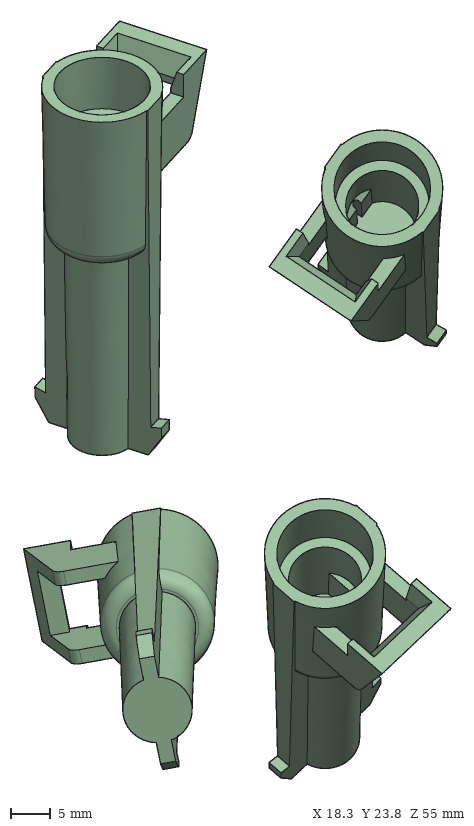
import cadquery as cq
import math

TOTAL_HEIGHT = 55.0
CUP_BOTTOM = 31.5

CUP_TOP_RADIUS = 7.68
CUP_BOTTOM_RADIUS = 7.18
CUP_EDGE_FILLET = 2.0
STEM_TOP_RADIUS = 4.84
STEM_BOTTOM_RADIUS = 4.4

RIB_REACH = 7.6
RIB_TOP_WIDTH = 3.7
RIB_BOTTOM_WIDTH = 1.95

HOOK_REACH = 9.15
HOOK_TIP_REACH = 7.17
HOOK_LOWER_EDGE = 3.4
HOOK_ROOT = 4.6
HOOK_UPPER_EDGE = 5.0

BORE_TOP_RADIUS = 6.1
BORE_BOTTOM_RADIUS = 5.97
BORE_FLOOR = TOTAL_HEIGHT - 8.0
SOCKET_TOP_RADIUS = 4.63
SOCKET_BOTTOM_RADIUS = 4.4
SOCKET_FLOOR = CUP_BOTTOM + CUP_EDGE_FILLET

FLAT_TOP_REACH = 3.58
FLAT_BOTTOM_REACH = 3.45
LEDGE_HEIGHT = SOCKET_FLOOR + 6.0
LEFT_LEDGE_ANGLE = 7.0
RIGHT_LEDGE_ANGLE = 45.0
NOTCH_RADIUS = 0.5
NOTCH_CENTER_X = 3.9

FRAME_HALF_WIDTH = 6.3
FRAME_BACK = 16.07
FRAME_TOP = 52.55
FRAME_BOTTOM = 41.2
FRAME_BOTTOM_BACK = 11.96
FRAME_CORNER_FILLET = 1.5
STEP_Y = 10.0
STEP_HEIGHT = 49.0
WINDOW_TOP_HALF_WIDTH = 5.3
WINDOW_HALF_WIDTH = 4.4
WINDOW_TOP_BACK = 13.7
WINDOW_BACK = 12.14
WINDOW_SLOPE_BOTTOM = 49.7
CROSSBAR_BOTTOM = 48.6


def cone(bottom_z, bottom_radius, top_z, top_radius):
    """Solid truncated cone about the Z axis."""
    profile = [(0, bottom_z), (bottom_radius, bottom_z), (top_radius, top_z), (0, top_z)]
    return cq.Workplane("XZ").polyline(profile).close().revolve(360, (0, 0), (0, 1))


def box(x_min, x_max, y_min, y_max, z_min, z_max):
    """Axis-aligned box between the given limits."""
    size = (x_max - x_min, y_max - y_min, z_max - z_min)
    return cq.Workplane("XY").box(*size, centered=False).translate((x_min, y_min, z_min))


def make_body():
    """Cup with a rounded lower edge, trimmed flush with the ribs, on top of the slender stem."""
    cup = cone(CUP_BOTTOM, CUP_BOTTOM_RADIUS, TOTAL_HEIGHT, CUP_TOP_RADIUS)
    cup = cup.faces("<Z").edges().fillet(CUP_EDGE_FILLET)
    cup = cup.intersect(
        box(-RIB_REACH, RIB_REACH, -CUP_TOP_RADIUS, CUP_TOP_RADIUS, CUP_BOTTOM, TOTAL_HEIGHT)
    )
    stem = cone(0, STEM_BOTTOM_RADIUS, CUP_BOTTOM, STEM_TOP_RADIUS)
    return cup.union(stem)


def make_ribs():
    """Both ribs with hooks: the front outline limited to the tapering rib width."""
    right_side = [
        (HOOK_TIP_REACH, 0),
        (HOOK_REACH, HOOK_LOWER_EDGE),
        (HOOK_REACH, HOOK_UPPER_EDGE),
        (RIB_REACH, HOOK_ROOT),
        (RIB_REACH, TOTAL_HEIGHT),
    ]
    left_side = [(-x, z) for x, z in reversed(right_side)]
    outline = cq.Workplane("XZ").polyline(right_side + left_side).close()
    plate = outline.extrude(RIB_TOP_WIDTH, both=True)
    taper = (
        cq.Workplane("YZ")
        .polyline([
            (-RIB_BOTTOM_WIDTH / 2, 0),
            (RIB_BOTTOM_WIDTH / 2, 0),
            (RIB_TOP_WIDTH / 2, TOTAL_HEIGHT),
            (-RIB_TOP_WIDTH / 2, TOTAL_HEIGHT),
        ])
        .close()
        .extrude(HOOK_REACH, both=True)
    )
    return plate.intersect(taper)


def make_window():
    """Opening of the latch frame: straight shaft with a flared mouth."""
    shaft = box(-WINDOW_HALF_WIDTH, WINDOW_HALF_WIDTH, 0, WINDOW_BACK, FRAME_BOTTOM, FRAME_TOP)
    mouth = (
        cq.Workplane("XY", origin=(0, 0, WINDOW_SLOPE_BOTTOM))
        .rect(2 * WINDOW_HALF_WIDTH, 2 * WINDOW_BACK)
        .workplane(offset=FRAME_TOP - WINDOW_SLOPE_BOTTOM)
        .rect(2 * WINDOW_TOP_HALF_WIDTH, 2 * WINDOW_TOP_BACK)
        .loft()
    )
    below_crossbar = box(
        -WINDOW_HALF_WIDTH, WINDOW_HALF_WIDTH, 0, FRAME_BACK, FRAME_BOTTOM, CROSSBAR_BOTTOM
    )
    return shaft.union(mouth).union(below_crossbar)


def make_latch_frame():
    """Two side arms joined by a crossbar at the top."""
    side_outline = [
        (0, FRAME_BOTTOM),
        (FRAME_BOTTOM_BACK, FRAME_BOTTOM),
        (FRAME_BACK, FRAME_TOP),
        (STEP_Y, FRAME_TOP),
        (STEP_Y, STEP_HEIGHT),
        (0, STEP_HEIGHT),
    ]
    frame = cq.Workplane("YZ").polyline(side_outline).close().extrude(FRAME_HALF_WIDTH, both=True)
    frame = frame.edges("|X").edges("<Z").edges(">Y").fillet(FRAME_CORNER_FILLET)
    return frame.cut(make_window())


def make_flat(ledge_angle):
    """Filler on the +X side of the socket: drafted flat topped by an outward-rising ledge."""
    ledge_rise = (SOCKET_TOP_RADIUS - FLAT_TOP_REACH) * math.tan(math.radians(ledge_angle))
    profile = [
        (FLAT_BOTTOM_REACH, SOCKET_FLOOR),
        (FLAT_TOP_REACH, LEDGE_HEIGHT),
        (SOCKET_TOP_RADIUS, LEDGE_HEIGHT + ledge_rise),
        (SOCKET_TOP_RADIUS, SOCKET_FLOOR),
    ]
    return cq.Workplane("XZ").polyline(profile).close().extrude(SOCKET_TOP_RADIUS, both=True)


def make_notch():
    """Round-ended vertical groove through the +X flat."""
    height = BORE_FLOOR - SOCKET_FLOOR
    end_plane = cq.Workplane("XY", origin=(NOTCH_CENTER_X, 0, SOCKET_FLOOR))
    end = end_plane.circle(NOTCH_RADIUS).extrude(height)
    channel = box(0, NOTCH_CENTER_X, -NOTCH_RADIUS, NOTCH_RADIUS, SOCKET_FLOOR, BORE_FLOOR)
    return end.union(channel)


def make_cavity():
    """Wide upper bore and the narrower socket below it with its two flats."""
    bore = cone(BORE_FLOOR, BORE_BOTTOM_RADIUS, TOTAL_HEIGHT, BORE_TOP_RADIUS)
    socket = cone(SOCKET_FLOOR, SOCKET_BOTTOM_RADIUS, BORE_FLOOR, SOCKET_TOP_RADIUS)
    right_flat = make_flat(RIGHT_LEDGE_ANGLE).cut(make_notch())
    left_flat = make_flat(LEFT_LEDGE_ANGLE).mirror("YZ")
    return bore.union(socket.cut(right_flat).cut(left_flat))


result = make_body().union(make_ribs()).union(make_latch_frame()).cut(make_cavity())